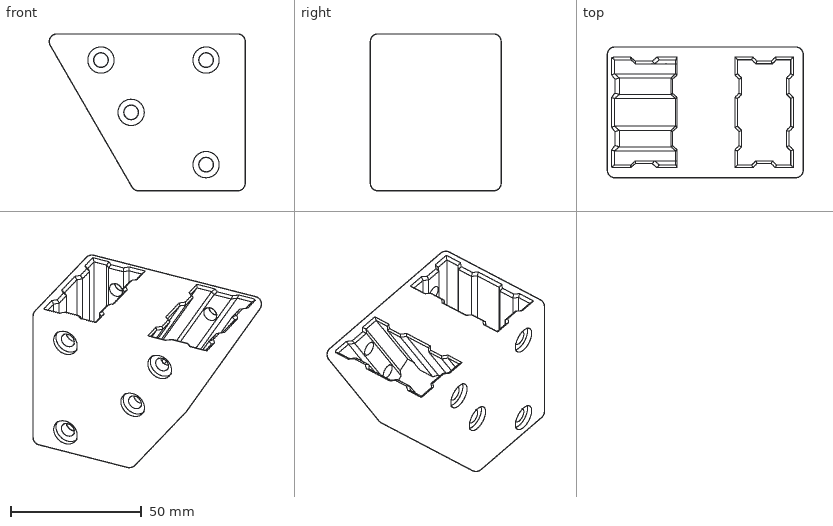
import cadquery as cq
import math

length = 74.9
width = 50.0
height = 60.0
edge_radius = 3.0
slant_angle = 60.0

socket_thickness = 20.2
socket_width = 40.15
rib_pitch = 20.0
rib_depth = 1.6
rib_tip_width = 6.3
mouth_chamfer = 1.05

upright_inset = 15.0
slanted_inset = 14.0
slanted_depth = 46.0

screw_diameter = 5.5
head_diameter = 10.0
head_depth = 2.0
screw_end_distance = 10.0

slant = math.radians(slant_angle)
corner_loss = edge_radius / math.tan(slant / 2) - edge_radius
right_x = length / 2
sharp_left_x = -length / 2 - corner_loss
top_z = height / 2


def slant_x(z, inset):
    """X at height z on a line parallel to the slanted face, a given distance inside it."""
    return sharp_left_x + (top_z - z) / math.tan(slant) + inset / math.sin(slant)


def make_block():
    outline = [
        (sharp_left_x, top_z),
        (right_x, top_z),
        (right_x, -top_z),
        (slant_x(-top_z, 0), -top_z),
    ]
    return cq.Workplane("XZ").polyline(outline).close().extrude(width / 2, both=True)


def socket_outline(stretch):
    """Ribbed rectangle centered on the socket axis, with X lengths multiplied by stretch."""
    half_x = socket_thickness / 2
    half_y = socket_width / 2
    half_tip = rib_tip_width / 2
    half_base = half_tip + rib_depth
    rib_y = rib_pitch / 2
    quarter = [
        (half_x, rib_y - half_base),
        (half_x - rib_depth, rib_y - half_tip),
        (half_x - rib_depth, rib_y + half_tip),
        (half_x, rib_y + half_base),
        (half_x, half_y),
        (half_base, half_y),
        (half_tip, half_y - rib_depth),
    ]
    upper_left = [(-x, y) for x, y in reversed(quarter)]
    upper_half = quarter + upper_left
    lower_half = [(-x, -y) for x, y in upper_half]
    return [(stretch * x, y) for x, y in upper_half + lower_half]


def make_socket(axis_x, tilt, depth):
    """Socket cutter that enters the top face at axis_x, with its axis tilt radians above horizontal."""
    axis = cq.Vector(-math.cos(tilt), 0, math.sin(tilt))
    mouth_center = cq.Vector(axis_x, 0, top_z)
    across = cq.Vector(math.sin(tilt), 0, math.cos(tilt))
    bottom = cq.Plane(origin=mouth_center - axis * depth, xDir=across, normal=axis)
    prism_length = depth + socket_thickness
    prism = cq.Workplane(bottom).polyline(socket_outline(1)).close().extrude(prism_length)

    throat_center = mouth_center - axis * mouth_chamfer
    mouth_points = socket_outline(1 / math.sin(tilt))
    throat = cq.Workplane(origin=throat_center).polyline(mouth_points).close()
    mouth = cq.Workplane(origin=mouth_center).polyline(mouth_points).close()
    mouth = mouth.offset2D(mouth_chamfer, "intersection")
    flare = cq.Solid.makeLoft([throat.val(), mouth.val()], True)
    return prism.union(cq.Workplane(flare))


upright_x = right_x - upright_inset
body = make_block().edges().fillet(edge_radius)
body = body.cut(make_socket(upright_x, math.pi / 2, 2 * height))
body = body.cut(make_socket(slant_x(top_z, slanted_inset), slant, slanted_depth))

upper_z = top_z - screw_end_distance
screw_points = [
    (upright_x, upper_z),
    (upright_x, -upper_z),
    (slant_x(upper_z, slanted_inset), upper_z),
    (slant_x(0, slanted_inset), 0),
]
side = cq.Workplane("XZ").pushPoints(screw_points)
screws = side.circle(screw_diameter / 2).extrude(width / 2, both=True)
head_space = side.circle(head_diameter / 2).extrude(width / 2, both=True)
head_middle = cq.Workplane("XY").box(2 * length, width - 2 * head_depth, 2 * height)
heads = head_space.cut(head_middle)

result = body.cut(screws).cut(heads)